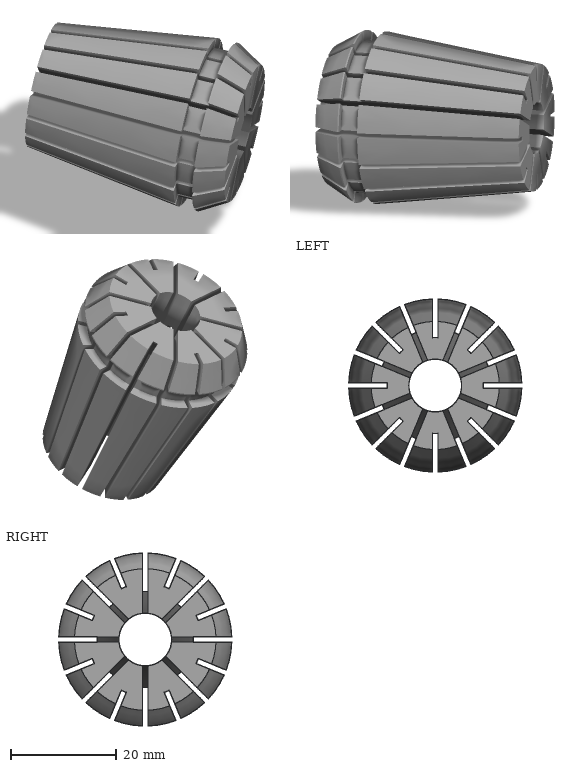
import cadquery as cq
import math

length = 40
max_diameter = 33.0
narrow_end_diameter = 24.4
nose_end_diameter = 26.95
bore_diameter = 10

groove_start = 30.8
groove_width = 3.7
groove_diameter = 29.15
rim_land = 0.3

slit_width = 1.0
slits_per_end = 8
slit_spacing = 360 / slits_per_end
saw_radius = 40
narrow_end_floor = 9.15
nose_end_floor = 10.7
nose_slit_bottom = 4.05
narrow_slit_bottom = 0.5


def collet_body():
    """Tapered body with its groove, nose cone and through bore, revolved about X."""
    bore_radius = bore_diameter / 2
    max_radius = max_diameter / 2
    groove_radius = groove_diameter / 2
    groove_end = groove_start + groove_width
    return (
        cq.Workplane("XY")
        .moveTo(0, bore_radius)
        .lineTo(0, narrow_end_diameter / 2)
        .lineTo(groove_start, max_radius)
        .lineTo(groove_start, groove_radius)
        .lineTo(groove_end, groove_radius)
        .lineTo(groove_end, max_radius)
        .lineTo(groove_end + rim_land, max_radius)
        .lineTo(length, nose_end_diameter / 2)
        .lineTo(length, bore_radius)
        .close()
        .revolve(360, (0, 0, 0), (1, 0, 0))
    )


def slit_cutter(open_x, runout_x, runout_floor, bottom):
    """Thin blade swept by a saw that enters at open_x and curves out through the end at runout_x."""
    center_height = bottom + saw_radius
    runout_reach = math.sqrt(saw_radius**2 - (center_height - runout_floor) ** 2)
    direction = math.copysign(1, runout_x - open_x)
    center_x = runout_x - direction * runout_reach
    diagonal = saw_radius * math.sqrt(0.5)
    return (
        cq.Workplane("XY")
        .moveTo(open_x, bottom)
        .lineTo(center_x, bottom)
        .threePointArc(
            (center_x + direction * diagonal, center_height - diagonal),
            (center_x + direction * saw_radius, center_height),
        )
        .lineTo(open_x, center_height)
        .close()
        .extrude(slit_width / 2, both=True)
    )


def cut_slits(body, cutter, first_angle):
    """Cut one evenly spaced ring of slits, starting at first_angle about X."""
    for index in range(slits_per_end):
        angle = first_angle + index * slit_spacing
        body = body.cut(cutter.rotate((0, 0, 0), (1, 0, 0), angle))
    return body


nose_side_cutter = slit_cutter(length, 0, narrow_end_floor, nose_slit_bottom)
narrow_side_cutter = slit_cutter(0, length, nose_end_floor, narrow_slit_bottom)

result = collet_body()
result = cut_slits(result, nose_side_cutter, 0)
result = cut_slits(result, narrow_side_cutter, slit_spacing / 2)